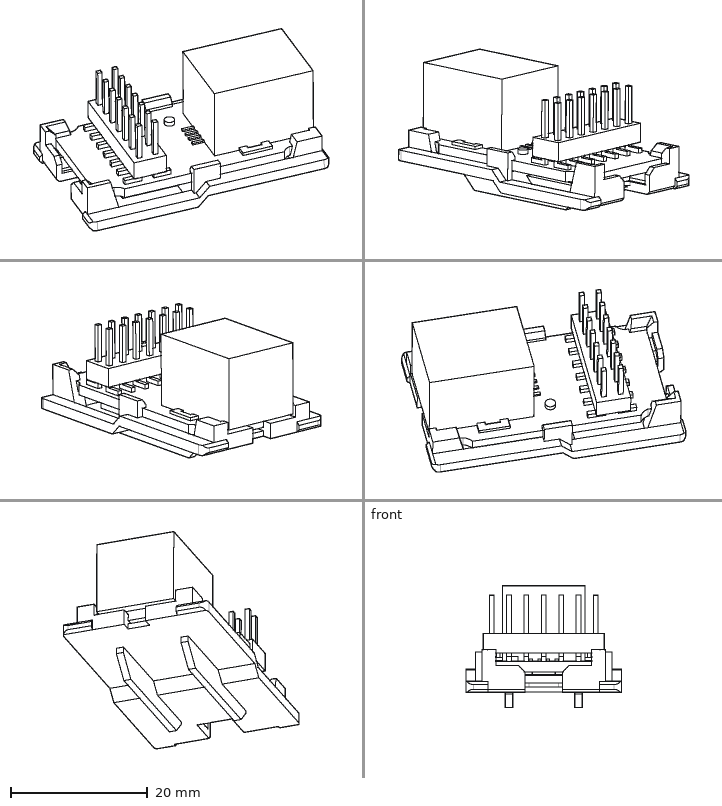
import cadquery as cq

BASE_WIDTH = 22.8
BASE_LENGTH = 38.1
TILT = 0.35
HALF_WIDTH = BASE_WIDTH / 2
HALF_LENGTH = BASE_LENGTH / 2

RAIL_THICKNESS = 1.6
RAIL_STEP = 1.6
RAIL_INNER_X = 9.05
STEP_TOP_Y = -0.2
STEP_BOTTOM_Y = -0.4
END_CHAMFER = 0.45
CORNER_RADIUS = 1.1
FRONT_NOSE_INNER_X = 8.2
REAR_NOSE_INNER_X = 6.65
NOSE_DEPTH = 1.15
RAIL_TOP = RAIL_STEP + RAIL_THICKNESS

FLOOR_TOP = 2.45
RAISED_FLOOR_X = 3.8
SIDE_FLOOR_TOP = 0.5
FLOOR_FRONT_Y = -14.1
FLOOR_BEVEL = 1.05
FLOOR_UNDERCUT = 0.75
GAP_SILL_TOP = FLOOR_TOP - FLOOR_BEVEL

BOARD_HALF_WIDTH = 9.0
BOARD_HALF_LENGTH = 16.95
BOARD_BOTTOM = 2.97
BOARD_THICKNESS = 1.52
BOARD_TOP = BOARD_BOTTOM + BOARD_THICKNESS
NOTCH_X = 8.05
NOTCH_Y = 13.85
NOTCH_RUN = 1.2
NOTCH_RADIUS = 1.9

CLIP_END_Y = HALF_LENGTH - END_CHAMFER
WALL_TOP = 3.95
FRONT_GAP_HALF_WIDTH = 2.75
FRONT_WALL_BACK_Y = -17.7
FRONT_GAP_CHAMFER = 1.0
LEDGE_INNER_X = 3.25
LEDGE_CHAMFER = 1.15
GAP_FILLET = 0.57
FRONT_POST_INNER_X = 7.0
FRONT_POST_TOP = 6.25
FRONT_POST_TOP_Y = -14.9
FRONT_POST_FOOT_Y = -13.35
LEAD_IN_HALF_WIDTH = 7.3
LEAD_IN_OFFSET = 1.0
REAR_GAP_HALF_WIDTH = 1.68
REAR_POST_INNER_X = 6.9
REAR_POST_END_INNER_X = 6.4
REAR_POST_END_Y = 17.52
REAR_POST_TOP = 5.75
REAR_POST_TOP_Y = 14.63
REAR_POST_FOOT_Y = 13.83
REAR_LEDGE_Y = 15.25

HOOK_HALF_LENGTH = 2.1
HOOK_OUTER_X = 10.0
HOOK_TIP_X = 8.4
HOOK_TOP = 5.8
HOOK_TIP_HEIGHT = 0.45

KEEL_OUTER_X = 5.65
KEEL_INNER_X = 4.55
KEEL_HALF_LENGTH = 11.6
KEEL_BOTTOM = -2.3
KEEL_FRONT_BEVEL = 1.98
KEEL_REAR_BEVEL = 3.0

BLOCK_HALF_WIDTH = 6.05
BLOCK_FRONT_Y = 2.8
BLOCK_REAR_Y = 18.47
BLOCK_TOP = 15.43
TAB_OUTER_X = 7.58
TAB_FRONT_Y = 6.65
TAB_REAR_Y = 11.35
TAB_THICKNESS = 0.45
TAB_NOTCH_X = 6.55
TAB_NOTCH_LENGTH = 2.2
CONTACT_COUNT = 4
CONTACT_SPAN = 3.8
CONTACT_PITCH = CONTACT_SPAN / (CONTACT_COUNT - 1)
CONTACT_WIDTH = 0.45
CONTACT_TIP_Y = 0.95
CONTACT_THICKNESS = 0.248

LAMP_X = -4.5
LAMP_RADIUS = 0.75
LAMP_HEIGHT = 0.65

HEADER_Y = -8.55
HEADER_COLUMNS = 7
HEADER_SPAN = 15.25
HEADER_PITCH = HEADER_SPAN / (HEADER_COLUMNS - 1)
HEADER_BODY_WIDTH = 17.7
HEADER_BODY_LENGTH = 5.1
HEADER_BODY_BOTTOM = 5.7
HEADER_BODY_TOP = 8.57
PIN_SIZE = 0.7
PIN_TOP = 14.17
FOOT_REACH = 3.65


def block(x0, x1, y0, y1, z0, z1):
    return cq.Workplane("XY").box(x1 - x0, y1 - y0, z1 - z0, centered=False).translate((x0, y0, z0))


def side_profile(points, x0, x1):
    """Extrude a (y, z) outline along X from x0 to x1."""
    return cq.Workplane("YZ").workplane(offset=x0).polyline(points).close().extrude(x1 - x0)


def both_sides(left):
    return left.union(left.mirror("YZ"))


def left_rail():
    """Stepped rail whose ends turn inwards as short bevelled noses."""
    y, c = HALF_LENGTH, END_CHAMFER
    outline = [
        (-y + c, 0),
        (STEP_BOTTOM_Y - RAIL_STEP, 0),
        (STEP_BOTTOM_Y, RAIL_STEP),
        (y - c, RAIL_STEP),
        (y, RAIL_STEP + c),
        (y, RAIL_TOP - c),
        (y - c, RAIL_TOP),
        (STEP_TOP_Y, RAIL_TOP),
        (STEP_TOP_Y - RAIL_STEP, RAIL_THICKNESS),
        (-y + c, RAIL_THICKNESS),
        (-y, RAIL_THICKNESS - c),
        (-y, c),
    ]
    bar = side_profile(outline, -HALF_WIDTH, -REAR_NOSE_INNER_X)
    nose_y = HALF_LENGTH - NOSE_DEPTH
    keep = block(-HALF_WIDTH, -RAIL_INNER_X, -y, y, 0, RAIL_TOP)
    keep = keep.union(block(-HALF_WIDTH, -FRONT_NOSE_INNER_X, -y, -nose_y, 0, RAIL_TOP))
    keep = keep.union(block(-HALF_WIDTH, -REAR_NOSE_INNER_X, nose_y, y, 0, RAIL_TOP))
    plan = cq.Workplane("XY").rect(BASE_WIDTH, BASE_LENGTH).extrude(RAIL_TOP)
    plan = plan.edges("|Z").fillet(CORNER_RADIUS)
    return bar.intersect(keep).intersect(plan)


def floor():
    """Low side strips ramping up at the rail step, and a raised middle bevelled at the front."""
    raised = [
        (FLOOR_FRONT_Y + FLOOR_UNDERCUT, 0),
        (STEP_BOTTOM_Y - RAIL_STEP, 0),
        (STEP_BOTTOM_Y, RAIL_STEP),
        (BOARD_HALF_LENGTH, RAIL_STEP),
        (BOARD_HALF_LENGTH, FLOOR_TOP),
        (FLOOR_FRONT_Y + FLOOR_BEVEL, FLOOR_TOP),
        (FLOOR_FRONT_Y, GAP_SILL_TOP),
        (FLOOR_FRONT_Y, FLOOR_UNDERCUT),
    ]
    low_and_ramp = [
        (FLOOR_FRONT_Y + FLOOR_UNDERCUT, 0),
        (STEP_BOTTOM_Y - RAIL_STEP, 0),
        (STEP_BOTTOM_Y, RAIL_STEP),
        (BOARD_HALF_LENGTH, RAIL_STEP),
        (BOARD_HALF_LENGTH, FLOOR_TOP),
        (STEP_TOP_Y - RAIL_TOP + FLOOR_TOP, FLOOR_TOP),
        (STEP_TOP_Y - RAIL_TOP + SIDE_FLOOR_TOP, SIDE_FLOOR_TOP),
        (FLOOR_FRONT_Y + FLOOR_UNDERCUT, SIDE_FLOOR_TOP),
    ]
    middle = side_profile(raised, -RAISED_FLOOR_X, RAISED_FLOOR_X)
    return middle.union(side_profile(low_and_ramp, -RAIL_INNER_X, RAIL_INNER_X))


def left_front_clip():
    """Ledge and low wall around the board end, with a taller corner post."""
    end = -CLIP_END_Y
    ledge = block(-RAIL_INNER_X, -LEDGE_INNER_X, end, FLOOR_FRONT_Y, 0, BOARD_BOTTOM)
    ledge = ledge.edges(">X and >Z").chamfer(LEDGE_CHAMFER)
    sill = block(-RAIL_INNER_X, -FRONT_GAP_HALF_WIDTH, end, FLOOR_FRONT_Y, 0, GAP_SILL_TOP)
    root = block(-RAIL_INNER_X, -FRONT_GAP_HALF_WIDTH, end, FRONT_POST_FOOT_Y, 0, SIDE_FLOOR_TOP)
    wall = block(-RAIL_INNER_X, -FRONT_GAP_HALF_WIDTH, end, FRONT_WALL_BACK_Y, 0, WALL_TOP)
    wall = wall.edges(">X and >Z").chamfer(FRONT_GAP_CHAMFER)
    post = side_profile(
        [
            (end, 0),
            (FRONT_POST_FOOT_Y, 0),
            (FRONT_POST_FOOT_Y, SIDE_FLOOR_TOP),
            (FRONT_POST_TOP_Y, FRONT_POST_TOP),
            (end, FRONT_POST_TOP),
        ],
        -RAIL_INNER_X,
        -FRONT_POST_INNER_X,
    )
    slope_bottom = FRONT_POST_TOP - LEAD_IN_OFFSET
    lead_in = (
        cq.Workplane("XY")
        .workplane(offset=slope_bottom)
        .rect(2 * LEAD_IN_HALF_WIDTH, 2 * BOARD_HALF_LENGTH)
        .workplane(offset=LEAD_IN_OFFSET)
        .rect(2 * (LEAD_IN_HALF_WIDTH + LEAD_IN_OFFSET), 2 * (BOARD_HALF_LENGTH + LEAD_IN_OFFSET))
        .loft(ruled=True)
    )
    seat = cq.Workplane("XY").workplane(offset=BOARD_TOP)
    seat = seat.rect(2 * LEAD_IN_HALF_WIDTH, 2 * BOARD_HALF_LENGTH).extrude(slope_bottom - BOARD_TOP)
    clip = ledge.union(sill).union(root).union(wall).union(post.cut(lead_in).cut(seat))
    return clip.faces("<Y").edges("<Z").chamfer(END_CHAMFER)


def left_gap_fillet():
    """Rounded inner corner where the front clip meets the floor edge."""
    x, y, size = -FRONT_GAP_HALF_WIDTH, FLOOR_FRONT_Y, GAP_FILLET
    return (
        cq.Workplane("XY")
        .workplane(offset=FLOOR_UNDERCUT)
        .moveTo(x, y)
        .lineTo(x, y - size)
        .radiusArc((x + size, y), size)
        .close()
        .extrude(GAP_SILL_TOP - FLOOR_UNDERCUT)
    )


def left_rear_clip():
    """Wall behind the board with a corner post beside it."""
    end = CLIP_END_Y
    ledge = block(-RAIL_INNER_X, -REAR_GAP_HALF_WIDTH, REAR_LEDGE_Y, end, RAIL_STEP, BOARD_BOTTOM)
    wall = block(-REAR_POST_END_INNER_X, -REAR_GAP_HALF_WIDTH, BOARD_HALF_LENGTH, end, RAIL_STEP, WALL_TOP)
    post = side_profile(
        [
            (end, RAIL_STEP),
            (REAR_POST_FOOT_Y, RAIL_STEP),
            (REAR_POST_FOOT_Y, FLOOR_TOP),
            (REAR_POST_TOP_Y, REAR_POST_TOP),
            (end, REAR_POST_TOP),
        ],
        -RAIL_INNER_X,
        -REAR_POST_INNER_X,
    )
    post_end = block(-RAIL_INNER_X, -REAR_POST_END_INNER_X, REAR_POST_END_Y, end, RAIL_STEP, REAR_POST_TOP)
    return ledge.union(wall).union(post).union(post_end)


def left_hook():
    """Snap hook with a sloping top that reaches over the board edge."""
    outline = [
        (-HOOK_OUTER_X, RAIL_THICKNESS),
        (-HOOK_OUTER_X, HOOK_TOP),
        (-RAIL_INNER_X, HOOK_TOP),
        (-HOOK_TIP_X, BOARD_TOP + HOOK_TIP_HEIGHT),
        (-HOOK_TIP_X, BOARD_TOP),
        (-RAIL_INNER_X, BOARD_TOP),
        (-RAIL_INNER_X, RAIL_THICKNESS),
    ]
    hook = cq.Workplane("XZ").polyline(outline).close()
    return hook.extrude(HOOK_HALF_LENGTH, both=True)


def left_keel():
    outline = [
        (-KEEL_HALF_LENGTH, RAIL_STEP),
        (-KEEL_HALF_LENGTH, KEEL_BOTTOM + KEEL_FRONT_BEVEL),
        (-KEEL_HALF_LENGTH + KEEL_FRONT_BEVEL, KEEL_BOTTOM),
        (KEEL_HALF_LENGTH - KEEL_REAR_BEVEL, KEEL_BOTTOM),
        (KEEL_HALF_LENGTH, KEEL_BOTTOM + KEEL_REAR_BEVEL),
        (KEEL_HALF_LENGTH, RAIL_STEP),
    ]
    return side_profile(outline, -KEEL_OUTER_X, -KEEL_INNER_X)


def board():
    """Rectangular board with a slot-like notch in each corner."""
    plate = block(
        -BOARD_HALF_WIDTH, BOARD_HALF_WIDTH, -BOARD_HALF_LENGTH, BOARD_HALF_LENGTH, BOARD_BOTTOM, BOARD_TOP
    )
    for sx in (-1, 1):
        for sy in (-1, 1):
            notch = (
                cq.Workplane("XY")
                .workplane(offset=BOARD_BOTTOM)
                .moveTo(sx * NOTCH_X, sy * BOARD_HALF_LENGTH)
                .lineTo(sx * NOTCH_X, sy * NOTCH_Y)
                .radiusArc((sx * BOARD_HALF_WIDTH, sy * (NOTCH_Y - NOTCH_RUN)), -sx * sy * NOTCH_RADIUS)
                .lineTo(sx * BOARD_HALF_WIDTH, sy * BOARD_HALF_LENGTH)
                .close()
                .extrude(BOARD_THICKNESS)
            )
            plate = plate.cut(notch)
    return plate


def connector():
    body = block(
        -BLOCK_HALF_WIDTH, BLOCK_HALF_WIDTH, BLOCK_FRONT_Y, BLOCK_REAR_Y, BOARD_TOP, BLOCK_TOP
    )
    tab_top = BOARD_TOP + TAB_THICKNESS
    tab = block(-TAB_OUTER_X, -BLOCK_HALF_WIDTH, TAB_FRONT_Y, TAB_REAR_Y, BOARD_TOP, tab_top)
    tab_mid_y = (TAB_FRONT_Y + TAB_REAR_Y) / 2
    notch_front_y = tab_mid_y - TAB_NOTCH_LENGTH / 2
    notch_rear_y = tab_mid_y + TAB_NOTCH_LENGTH / 2
    notch = block(-TAB_NOTCH_X, -BLOCK_HALF_WIDTH, notch_front_y, notch_rear_y, BOARD_TOP, tab_top)
    tab = tab.cut(notch)
    body = body.union(both_sides(tab))
    half = CONTACT_WIDTH / 2
    contact_top = BOARD_TOP + CONTACT_THICKNESS
    for i in range(CONTACT_COUNT):
        x = i * CONTACT_PITCH - CONTACT_SPAN / 2
        body = body.union(block(x - half, x + half, CONTACT_TIP_Y, BLOCK_FRONT_Y, BOARD_TOP, contact_top))
    return body


def lamp():
    seat = cq.Workplane("XY").workplane(offset=BOARD_TOP)
    return seat.center(LAMP_X, 0).circle(LAMP_RADIUS).extrude(LAMP_HEIGHT)


def header():
    """Two rows of upright pins, each ending in a foot turned outwards on the board."""
    half_width = HEADER_BODY_WIDTH / 2
    half_length = HEADER_BODY_LENGTH / 2
    body = block(
        -half_width,
        half_width,
        HEADER_Y - half_length,
        HEADER_Y + half_length,
        HEADER_BODY_BOTTOM,
        HEADER_BODY_TOP,
    )
    half_pin = PIN_SIZE / 2
    inner_face = HEADER_PITCH / 2 - half_pin
    outline = [
        (inner_face, BOARD_TOP),
        (inner_face, PIN_TOP),
        (inner_face + PIN_SIZE, PIN_TOP),
        (inner_face + PIN_SIZE, BOARD_TOP + PIN_SIZE),
        (FOOT_REACH, BOARD_TOP + PIN_SIZE),
        (FOOT_REACH, BOARD_TOP),
    ]
    for i in range(HEADER_COLUMNS):
        x = i * HEADER_PITCH - HEADER_SPAN / 2
        for side in (-1, 1):
            points = [(HEADER_Y + side * y, z) for y, z in outline]
            body = body.union(side_profile(points, x - half_pin, x + half_pin))
    return body


base = floor()
left_parts = (
    left_rail(),
    left_front_clip(),
    left_gap_fillet(),
    left_rear_clip(),
    left_hook(),
    left_keel(),
)
for left_part in left_parts:
    base = base.union(both_sides(left_part))

assembly = base.union(board()).union(connector()).union(lamp()).union(header())
result = assembly.rotate((0, 0, 0), (1, 0, 0), TILT)